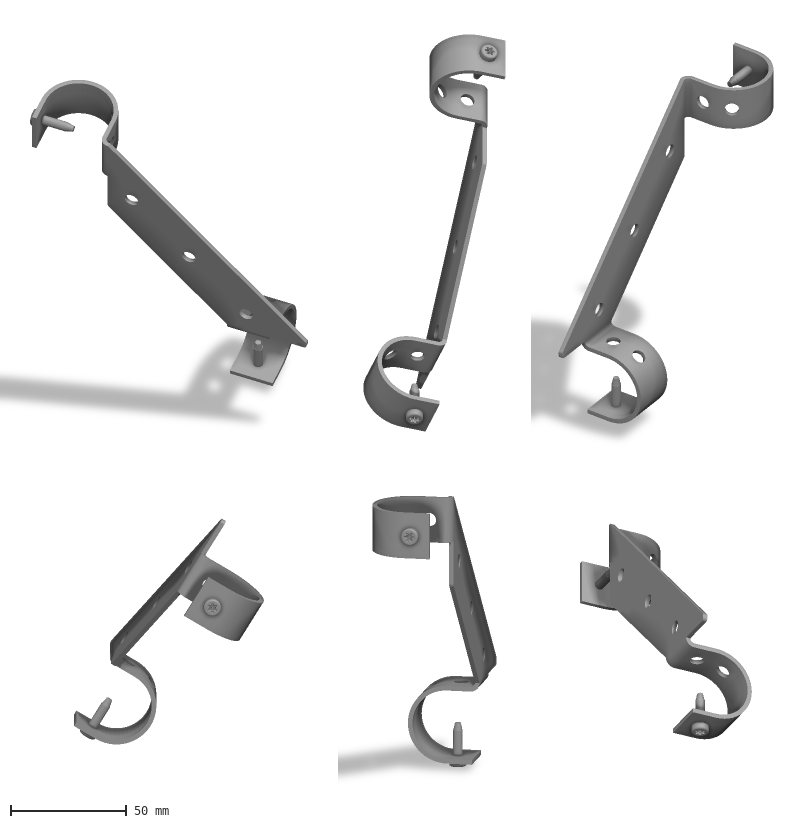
import cadquery as cq
import math

sheet = 2.0
strip_width = 19.8
bend_inner = sheet
bend_outer = bend_inner + sheet
tip_radius = 1.3
corner_radius = 2.0
plate_height = 94.8
slant_start = 0.3
tip_x = 92.0
plate_edge = 39.5
hole_dia = 6.2
hole_pitch = 26.5
hole_count = 3
hole_middle_x = 37.5
hole_middle_z = -57.6

clip_radius = 17.2
clip_inner = clip_radius - sheet
clip_center_u = bend_inner + clip_radius
clip_center_y = 14.3
clip_far_u = clip_center_u + clip_radius
free_end_y = 3.4
leg_hole_y = 10.0
arc_hole_angle = 32.5

screw_y = 11.5
screw_hole_dia = 4.2
shank_dia = screw_hole_dia
head_dia = 7.5
head_height = 3.0
head_rounding = 0.8
shank_length = 12.9
tip_length = 3.2
tip_start_dia = 3.9
tip_end_dia = 2.5
socket_dia = 4.5
socket_core_dia = 3.2
lobe_count = 6
pin_dia = 0.5
lobe_dia = 1.2
socket_depth = 1.6
socket_taper = 15

clip_frames = [
    cq.Plane(origin=(0, 0, 0), xDir=(-1, 0, 0), normal=(0, 0, -1)),
    cq.Plane(origin=(plate_height - plate_edge, 0, -plate_height), xDir=(0, 0, -1), normal=(1, 0, 0)),
]


def make_plate():
    """Slanted flat plate with three mounting holes along its middle."""
    plate = (
        cq.Workplane("XZ")
        .polyline([
            (0, 0),
            (slant_start, 0),
            (tip_x, slant_start - tip_x),
            (tip_x, -plate_height),
            (plate_height - plate_edge, -plate_height),
            (0, -plate_edge),
        ])
        .close()
        .extrude(-sheet)
    )
    plate = plate.edges("|Y").edges(">X").fillet(tip_radius)
    low_corner = cq.selectors.NearestToPointSelector((0, sheet / 2, -plate_edge))
    plate = plate.edges("|Y").edges(low_corner).fillet(corner_radius)

    offsets = [(i - (hole_count - 1) / 2) * hole_pitch for i in range(hole_count)]
    holes = (
        cq.Workplane("XZ")
        .pushPoints([(hole_middle_x + d, hole_middle_z - d) for d in offsets])
        .circle(hole_dia / 2)
        .extrude(-sheet)
    )
    return plate.cut(holes)


def make_clip():
    """J-shaped strip with its bend, in the local clip frame."""
    diagonal = math.sqrt(0.5)
    strip = (
        cq.Workplane("XY")
        .moveTo(0, 0)
        .threePointArc(
            (bend_outer * diagonal, bend_outer * (1 - diagonal)),
            (bend_outer, bend_outer),
        )
        .lineTo(bend_outer, clip_center_y)
        .threePointArc((clip_center_u, clip_center_y + clip_inner), (clip_far_u - sheet, clip_center_y))
        .lineTo(clip_far_u - sheet, free_end_y)
        .lineTo(clip_far_u, free_end_y)
        .lineTo(clip_far_u, clip_center_y)
        .threePointArc((clip_center_u, clip_center_y + clip_radius), (bend_inner, clip_center_y))
        .lineTo(bend_inner, bend_outer)
        .threePointArc(
            (bend_inner * diagonal, bend_outer - bend_inner * diagonal),
            (0, sheet),
        )
        .close()
        .extrude(strip_width)
    )
    middle = strip_width / 2
    angle = math.radians(arc_hole_angle)
    outward = cq.Vector(-math.cos(angle), math.sin(angle), 0)
    clip_center = cq.Vector(clip_center_u, clip_center_y, middle)
    arc_hole = cq.Solid.makeCylinder(hole_dia / 2, 2 * clip_radius, clip_center, outward)
    leg_hole = cq.Solid.makeCylinder(
        hole_dia / 2, clip_center_u, cq.Vector(0, leg_hole_y, middle), cq.Vector(1, 0, 0)
    )
    screw_hole = cq.Solid.makeCylinder(
        screw_hole_dia / 2, clip_radius, cq.Vector(clip_center_u, screw_y, middle), cq.Vector(1, 0, 0)
    )
    return strip.cut(arc_hole).cut(leg_hole).cut(screw_hole)


def make_bracket():
    """Plate and both clips as one bent sheet."""
    bracket = make_plate()
    clip = make_clip().val()
    for frame in clip_frames:
        bracket = bracket.union(clip.moved(cq.Location(frame)))
    return bracket


def make_screw():
    """Pan head screw with a star socket, seated on the free leg in the local clip frame."""
    head = cq.Workplane("XY").circle(head_dia / 2).extrude(head_height)
    head = head.faces(">Z").edges().fillet(head_rounding)
    shank = cq.Workplane("XY").circle(shank_dia / 2).extrude(-shank_length)
    tip = cq.Workplane(cq.Solid.makeCone(
        tip_start_dia / 2, tip_end_dia / 2, tip_length,
        cq.Vector(0, 0, -shank_length), cq.Vector(0, 0, -1)
    ))
    socket_plane = cq.Workplane("XY", origin=(0, 0, head_height))
    socket = socket_plane.circle(socket_core_dia / 2).extrude(-socket_depth, taper=socket_taper)
    lobes = (
        socket_plane
        .polarArray((socket_dia - lobe_dia) / 2, 0, 360, lobe_count)
        .circle(lobe_dia / 2)
        .extrude(-socket_depth, taper=socket_taper)
    )
    screw = head.union(shank).union(tip).cut(socket).cut(lobes)
    seat = cq.Plane(origin=(clip_far_u, screw_y, strip_width / 2), xDir=(0, 1, 0), normal=(1, 0, 0))
    pin = socket_plane.circle(pin_dia / 2).extrude(-socket_depth)
    screw = screw.union(pin)
    return screw.val().moved(cq.Location(seat))


bracket = make_bracket()
screw = make_screw()
screws = [screw.moved(cq.Location(frame)) for frame in clip_frames]

result = cq.Compound.makeCompound([bracket.val(), *screws])